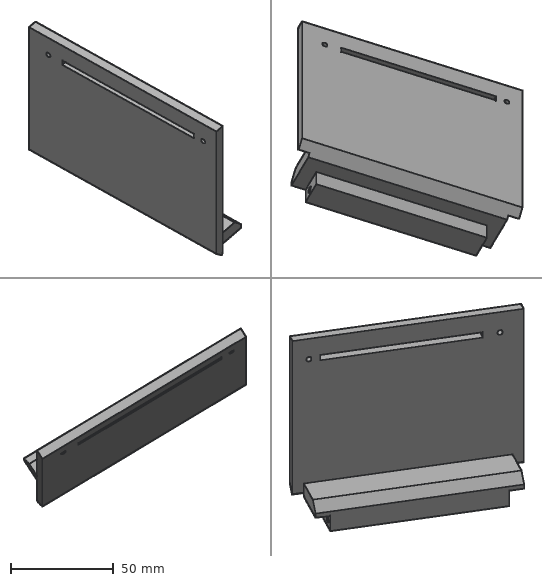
import cadquery as cq

plate_width = 116.7
plate_thickness = 5.0
overall_depth = 26.3
overall_height = 97.0

slot_length = 82.0
slot_height = 2.9
slot_left = 20.7
slot_top_margin = 10.0
slot_center_z = overall_height - slot_top_margin - slot_height / 2
plate_hole_diameter = 2.6
plate_hole_left_margin = 12.0
plate_hole_right_margin = 8.3

shelf_inset = 5.7
shelf_thickness = 7.5
shelf_back_chamfer = 5.0
block_inset = 13.2
block_depth = 13.2
block_height = 8.6
block_hole_diameter = 3.3
block_hole_back_margin = 5.0
block_hole_z = 4.0

slope_front_z = 14.2
plate_back_bottom_z = 11.1
plate_tip_y = (slope_front_z - plate_back_bottom_z + plate_thickness) / 2
plate_tip_z = slope_front_z - plate_tip_y
slope_end_y = slope_front_z - block_height
shelf_top_z = block_height + shelf_thickness


def extrude_profile(points, inset):
    """Extrude a Y-Z outline along X, inset equally from both plate sides."""
    length = plate_width - 2 * inset
    return cq.Workplane("YZ", origin=(inset, 0, 0)).polyline(points).close().extrude(length)


def make_plate():
    plate = extrude_profile(
        [
            (0, overall_height),
            (0, slope_front_z),
            (plate_tip_y, plate_tip_z),
            (plate_thickness, plate_back_bottom_z),
            (plate_thickness, overall_height),
        ],
        0,
    )
    slot = cq.Workplane("XY").box(slot_length, plate_thickness, slot_height, centered=(False, False, True))
    plate = plate.cut(slot.translate((slot_left, 0, slot_center_z)))
    for hole_x in (plate_hole_left_margin, plate_width - plate_hole_right_margin):
        hole = (
            cq.Workplane("XZ", origin=(hole_x, 0, slot_center_z))
            .circle(plate_hole_diameter / 2)
            .extrude(-plate_thickness)
        )
        plate = plate.cut(hole)
    return plate


def make_shelf():
    return extrude_profile(
        [
            (plate_tip_y, plate_tip_z),
            (slope_end_y, block_height),
            (overall_depth, block_height),
            (overall_depth, shelf_top_z - shelf_back_chamfer),
            (overall_depth - shelf_back_chamfer, shelf_top_z),
            (plate_tip_y, shelf_top_z),
        ],
        shelf_inset,
    )


def make_hinge_block():
    block_front_y = overall_depth - block_depth
    block = extrude_profile(
        [
            (block_front_y, 0),
            (overall_depth, 0),
            (overall_depth, block_height),
            (block_front_y, block_height),
        ],
        block_inset,
    )
    hole = (
        cq.Workplane("YZ")
        .center(overall_depth - block_hole_back_margin, block_hole_z)
        .circle(block_hole_diameter / 2)
        .extrude(plate_width)
    )
    return block.cut(hole)


result = make_plate().union(make_shelf()).union(make_hinge_block())